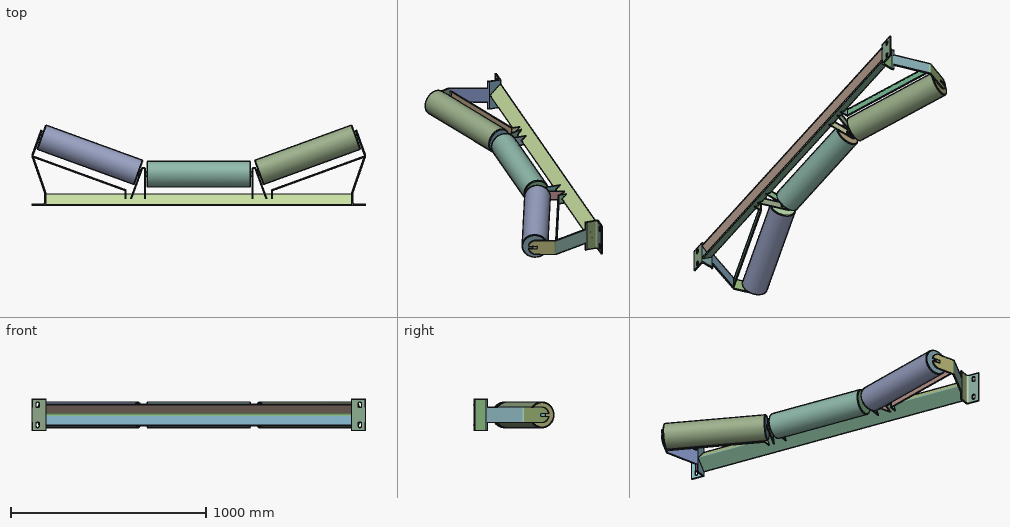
import cadquery as cq
import math

overall_length = 1708.56
overall_height = 412.08
trough_angle = 20.0

roller_diameter = 133.0
roller_length = 530.0
roller_edge_chamfer = 4.0
centre_roller_y = 161.5
left_corner_x = 783.0
shaft_diameter = 26.0
shaft_flat_width = 15.0
end_gap = 7.0

beam_half_length = 781.0
beam_leg = 80.0
beam_thickness = 7.0
beam_inner_radius = 10.0
beam_apex_radius = 2.0
beam_apex_y = (beam_leg + beam_thickness) / math.sqrt(2)

strap_width = 50.0
saddle_thickness = 5.0
saddle_bend_radius = 11.0

bracket_thickness = 7.0
elbow_inner_radius = 8.0
heel_fillet_radius = 8.0
foot_width = 160.0
foot_outer_x = 853.0
foot_bottom_y = 2.0
web_bend_y = 64.0
web_top_y = 72.0
arm_width = 80.0
arm_tip_radius = 39.0
arm_tip_above_axis = 33.0
mount_slot_length = 28.0
mount_slot_width = 16.0
mount_slot_x = 824.0
mount_slot_z = 51.0

brace_thickness = 6.0
brace_foot_x = 372.0
brace_kink_y = 81.0

tilt_cos = math.cos(math.radians(trough_angle))
tilt_sin = math.sin(math.radians(trough_angle))
inward = cq.Vector(tilt_cos, -tilt_sin, 0)
upward = cq.Vector(tilt_sin, tilt_cos, 0)
roller_radius = roller_diameter / 2

left_corner = cq.Vector(-left_corner_x, overall_height + roller_edge_chamfer * tilt_sin, 0)
left_outer_end = left_corner - upward * roller_radius
left_inner_end = left_outer_end + inward * roller_length
centre_end = cq.Vector(-roller_length / 2, centre_roller_y, 0)


def along(start, direction, distance):
    return start + direction * distance


def end_plane(origin, axis):
    """Plane across a roller end: local Z along the roller axis, local Y across it in XY."""
    return cq.Plane(origin=origin.toTuple(), xDir=(0, 0, 1), normal=axis.toTuple())


def meeting_point(p, p_dir, q, q_dir):
    """Point where two lines in the XY plane cross."""
    cross = p_dir.x * q_dir.y - p_dir.y * q_dir.x
    gap = q - p
    return p + p_dir * ((gap.x * q_dir.y - gap.y * q_dir.x) / cross)


def bent_strip(face, thickness, width):
    """Sheet with one face along the given points, thickened to the left, centred on Z."""
    directions = [(b - a).normalized() for a, b in zip(face, face[1:])]
    shifts = [cq.Vector(-d.y, d.x, 0) * thickness for d in directions]
    back = [face[0] + shifts[0]]
    for i in range(1, len(directions)):
        back.append(
            meeting_point(face[i] + shifts[i - 1], directions[i - 1], face[i] + shifts[i], directions[i])
        )
    back.append(face[-1] + shifts[-1])
    outline = [(p.x, p.y) for p in face + back[::-1]]
    return cq.Workplane("XY").polyline(outline).close().extrude(width / 2, both=True)


def mirrored(body):
    """Copy on the +X side."""
    return body.mirror("YZ")


def shaft_end_profile(plane, length):
    """Round bar with two flats that face +Z and -Z."""
    bar = cq.Workplane(plane).circle(shaft_diameter / 2).extrude(length)
    return bar.intersect(cq.Workplane(plane).rect(shaft_flat_width, shaft_diameter).extrude(length))


def make_roller(start, axis):
    plane = end_plane(start, axis)
    drum = cq.Workplane(plane).circle(roller_radius).extrude(roller_length)
    drum = drum.edges().chamfer(roller_edge_chamfer)
    return drum.cut(cq.Workplane(plane).circle(shaft_diameter / 2).extrude(roller_length))


def make_shaft(start, axis, start_reach, finish_reach):
    """Round inside the roller; the flatted ends reach out to the supports' far faces."""
    flatted_start = along(start, axis, -start_reach)
    flatted_length = start_reach + roller_length + finish_reach
    core = cq.Workplane(end_plane(start, axis)).circle(shaft_diameter / 2).extrude(roller_length)
    return core.union(shaft_end_profile(end_plane(flatted_start, axis), flatted_length))


bracket_reach = end_gap + bracket_thickness
saddle_reach = end_gap + saddle_thickness
x_axis = cq.Vector(1, 0, 0)

left_roller = make_roller(left_outer_end, inward)
rollers = [left_roller, make_roller(centre_end, x_axis), mirrored(left_roller)]

left_shaft = make_shaft(left_outer_end, inward, bracket_reach, saddle_reach)
shafts = [left_shaft, make_shaft(centre_end, x_axis, saddle_reach, saddle_reach), mirrored(left_shaft)]


def square_bar_on_edge(leg, apex_y, half_length):
    """Square bar of the given side, standing on its edge with the +Y edge at apex_y."""
    half_diagonal = leg / math.sqrt(2)
    return (
        cq.Workplane("YZ", origin=(-half_length, 0, 0))
        .polyline([(apex_y, 0), (apex_y - half_diagonal, half_diagonal),
                   (apex_y - 2 * half_diagonal, 0), (apex_y - half_diagonal, -half_diagonal)])
        .close()
        .extrude(2 * half_length)
    )


beam_envelope = square_bar_on_edge(beam_leg, beam_apex_y, beam_half_length)


def make_beam():
    inner_apex_y = beam_apex_y - beam_thickness * math.sqrt(2)
    hollow = square_bar_on_edge(beam_leg, inner_apex_y, beam_half_length)
    hollow = hollow.edges("|X and >Y").fillet(beam_inner_radius)
    beam = beam_envelope.cut(hollow)
    return beam.edges("|X and >Y").fillet(beam_apex_radius)


strap_bottom_y = beam_apex_y - strap_width / 2


def make_saddle():
    centre_face_x = -roller_length / 2 - end_gap
    tilted_face = along(left_inner_end, inward, end_gap)
    right_foot = cq.Vector(centre_face_x, strap_bottom_y, 0)
    up = cq.Vector(0, 1, 0)
    peak = meeting_point(right_foot, up, tilted_face, upward)
    left_foot = meeting_point(right_foot, x_axis, tilted_face, upward)

    half_fold = math.radians(trough_angle / 2)
    fold_drop = saddle_bend_radius / math.sin(half_fold)
    fold_centre = peak - cq.Vector(math.sin(half_fold), math.cos(half_fold), 0) * fold_drop

    def fold_outline(radius, offset):
        left_tangent = fold_centre - inward * radius
        left_base = meeting_point(left_foot, x_axis, left_tangent, upward)
        top = fold_centre + cq.Vector(-math.sin(half_fold), math.cos(half_fold), 0) * radius
        right_x = centre_face_x - offset
        return (
            cq.Workplane("XY")
            .moveTo(left_base.x, left_base.y)
            .lineTo(left_tangent.x, left_tangent.y)
            .threePointArc((top.x, top.y), (right_x, fold_centre.y))
            .lineTo(right_x, strap_bottom_y)
            .close()
            .extrude(strap_width / 2, both=True)
        )

    saddle = fold_outline(saddle_bend_radius, 0)
    saddle = saddle.cut(fold_outline(saddle_bend_radius - saddle_thickness, saddle_thickness))

    slot = cq.Workplane("XY").box(
        roller_length / 2, roller_diameter, shaft_flat_width, centered=(True, False, True)
    ).translate((centre_face_x, centre_roller_y, 0))
    return saddle.cut(slot).cut(shafts[0]).cut(shafts[1]).cut(beam_envelope)


arm_face = along(left_outer_end, inward, -end_gap)
arm_tip = along(arm_face, upward, arm_tip_above_axis)
web_bend = cq.Vector(-beam_half_length, web_bend_y, 0)


def find_elbow():
    """Point on the arm's inner face where the rounded outer bend reaches the overall length."""
    outer_radius = elbow_inner_radius + bracket_thickness
    bend_centre_x = outer_radius - overall_length / 2
    centre_line = along(arm_face, inward, elbow_inner_radius)
    height = cq.Vector(0, 1, 0)
    bend_centre = meeting_point(centre_line, upward, cq.Vector(bend_centre_x, 0, 0), height)
    to_bend = web_bend - bend_centre
    slope = math.atan2(to_bend.y, to_bend.x) + math.asin(elbow_inner_radius / to_bend.Length)
    lower_arm = cq.Vector(math.cos(slope), math.sin(slope), 0)
    return meeting_point(arm_face, upward, web_bend, lower_arm)


elbow = find_elbow()


def make_sheet():
    toe = cq.Vector(-foot_outer_x, foot_bottom_y, 0)
    heel = cq.Vector(-beam_half_length, foot_bottom_y, 0)
    sheet = bent_strip([toe, heel, web_bend, elbow, arm_tip], bracket_thickness, foot_width)

    def bend_edge(x, y):
        return cq.selectors.NearestToPointSelector((x, y, 0))

    heel_inside = (heel.x - bracket_thickness, heel.y + bracket_thickness)
    sheet = sheet.edges(bend_edge(*heel_inside)).fillet(heel_fillet_radius)
    sheet = sheet.edges(bend_edge(elbow.x, elbow.y)).fillet(elbow_inner_radius)
    sheet = sheet.edges(bend_edge(elbow.x - bracket_thickness, elbow.y)).fillet(
        elbow_inner_radius + bracket_thickness
    )
    return sheet


def narrow_arm(sheet):
    """Trim the sheet above the top of the web to the arm's width."""
    side_width = (foot_width - arm_width) / 2
    for side in (1, -1):
        offcut = cq.Workplane("XY").box(
            overall_length, overall_height, side_width, centered=(True, False, True)
        )
        sheet = sheet.cut(offcut.translate((0, web_top_y, side * (arm_width + side_width) / 2)))
    return sheet


def round_arm_tip(sheet):
    """Round both corners of the tip to nearly a half circle."""
    corners = sheet.edges(cq.selectors.ParallelDirSelector(inward)).edges(">Y")
    return corners.fillet(arm_tip_radius)


def cut_shaft_slot(sheet):
    """Slot open at the tip, closed below by the shaft end itself."""
    slot = (
        cq.Workplane(end_plane(left_outer_end, -inward))
        .center(0, roller_diameter / 2)
        .rect(shaft_flat_width, roller_diameter)
        .extrude(end_gap + 2 * bracket_thickness)
    )
    return sheet.cut(slot).cut(shafts[0])


def cut_mount_slots(sheet):
    slots = (
        cq.Workplane("XZ")
        .pushPoints([(-mount_slot_x, mount_slot_z), (-mount_slot_x, -mount_slot_z)])
        .slot2D(mount_slot_length, mount_slot_width, 90)
        .extrude(-web_top_y)
    )
    return sheet.cut(slots)


def make_brace():
    """Strap from the beam to the arm, parallel to the roller above its kink."""
    start = cq.Vector(-brace_foot_x, strap_bottom_y, 0)
    kink = cq.Vector(-brace_foot_x, brace_kink_y, 0)
    tip = meeting_point(kink, inward, elbow, elbow - web_bend)
    return bent_strip([start, kink, tip], brace_thickness, strap_width).cut(beam_envelope)


def make_end_bracket():
    sheet = narrow_arm(make_sheet())
    sheet = round_arm_tip(sheet)
    sheet = cut_mount_slots(cut_shaft_slot(sheet))
    return sheet.union(make_brace())


beam = make_beam()
left_saddle = make_saddle()
left_bracket = make_end_bracket()
frame = beam.union(left_saddle).union(mirrored(left_saddle))
bodies = [frame, left_bracket, mirrored(left_bracket)] + rollers + shafts
result = cq.Compound.makeCompound([body.val() for body in bodies])